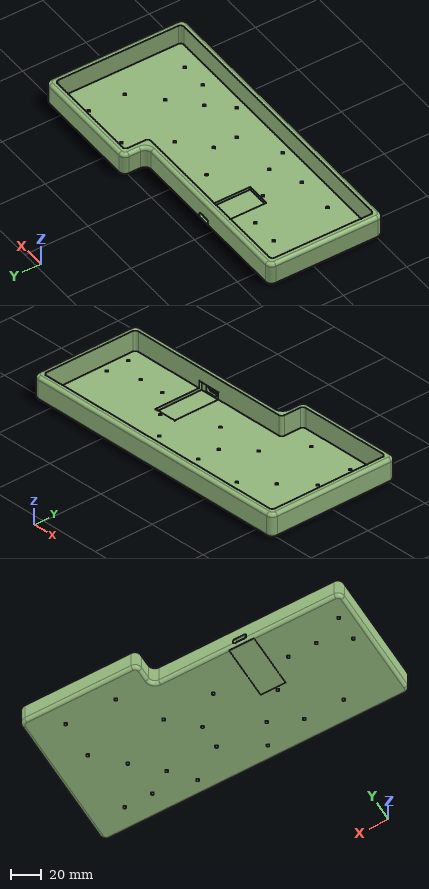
import cadquery as cq

length = 233.5
depth = 109.5
height = 19.0
step_x = 143.0
step_depth = 19.0
corner_radius = 5.0
rim_radius = 2.5

wall = 5.0
floor = 3.0
cavity_corner_radius = 2.5

hole_diameter = 2.0
hole_rows = [
    (92.7, [169.3, 207.3]),
    (73.8, [11.2]),
    (64.2, [33.9, 55.0, 112.0, 207.3]),
    (63.3, [150.4]),
    (54.9, [11.2]),
    (45.3, [74.3, 131.5, 188.2]),
    (27.3, [93.5, 131.5, 169.3]),
    (16.8, [41.0, 71.0, 186.3, 207.3]),
    (11.0, [102.0, 155.5]),
]

pocket_center_x = 76.5
pocket_width = 19.0
pocket_front_y = 47.5
pocket_drop = 2.3
pocket_wall_notch = 2.3
pocket_rise = 5.5

slot_width = 10.0
slot_corner_diameter = 3.5
slot_height = 4.5
slot_lift = 1.0

low_back_y = depth - step_depth
pocket_bottom = floor - pocket_drop


def stepped_prism(inset, bottom, top):
    """L-shaped prism whose sides lie `inset` inside the outer faces."""
    return (
        cq.Workplane("XY", origin=(0, 0, bottom))
        .moveTo(inset, inset)
        .lineTo(length - inset, inset)
        .lineTo(length - inset, depth - inset)
        .lineTo(step_x + inset, depth - inset)
        .lineTo(step_x + inset, low_back_y - inset)
        .lineTo(inset, low_back_y - inset)
        .close()
        .extrude(top - bottom)
    )


def make_tray():
    body = stepped_prism(0, 0, height).edges("|Z").fillet(corner_radius)
    body = body.faces("<Z or >Z").edges().fillet(rim_radius)
    cavity = stepped_prism(wall, floor, height).edges("|Z").fillet(cavity_corner_radius)
    return body.cut(cavity)


def make_screw_holes():
    points = [(x, y) for y, row in hole_rows for x in row]
    return cq.Workplane("XY").pushPoints(points).circle(hole_diameter / 2).extrude(floor)


def make_controller_pocket():
    pocket_back_y = low_back_y - wall + pocket_wall_notch
    return cq.Workplane("XY").box(
        pocket_width,
        pocket_back_y - pocket_front_y,
        pocket_drop + pocket_rise,
        centered=(True, False, False),
    ).translate((pocket_center_x, pocket_front_y, pocket_bottom))


def make_connector_slot():
    slot_center_z = pocket_bottom + slot_lift + slot_height / 2
    return (
        cq.Workplane("XZ", origin=(pocket_center_x, low_back_y, slot_center_z))
        .rect(slot_width, slot_height)
        .extrude(wall)
        .edges("|Y")
        .fillet(slot_corner_diameter / 2)
    )


result = (
    make_tray()
    .cut(make_screw_holes())
    .cut(make_controller_pocket())
    .cut(make_connector_slot())
)